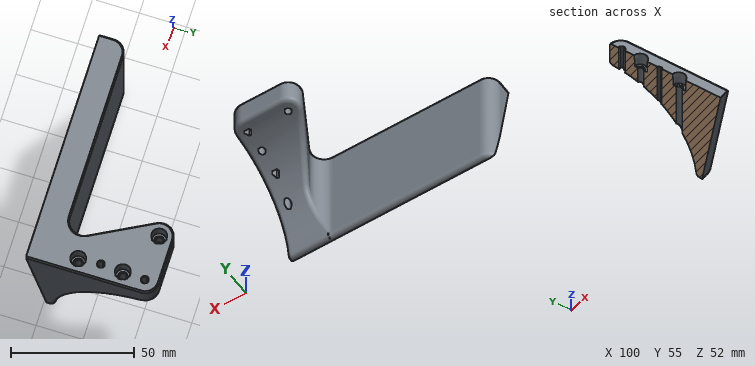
import cadquery as cq
import math

LENGTH = 100.0
DEPTH = 55.0
HEIGHT = 52.0

WALL_THICKNESS = 12.0
TAB_THICKNESS = 12.0
TAB_WIDTH = 31.0
THROAT_X = 84.0
CORNER_RADIUS = 6.0

FRONT_TILT = 10.0
TOP_CHAMFER_WIDTH = 0.6
TOP_CHAMFER_HEIGHT = 1.0
BOTTOM_FILLET = 2.0
MARGIN = 0.5

BOLT_DIAMETER = 3.0
BOLT_CHAMFER = 0.5
HEAD_DIAMETER = 6.1
HEAD_ENTRY_DIAMETER = 6.5
HEAD_ENTRY_DEPTH = 2.2
HEAD_DEPTH = 6.0

PILOT_DIAMETER = 3.2
PILOT_FLAT_OFFSET = 1.2
PILOT_MOUTH_DEPTH = 0.3

TAB_CORNER_X = LENGTH - TAB_WIDTH + CORNER_RADIUS
TAB_CORNER_Y = DEPTH - CORNER_RADIUS
HOLE_PITCH = 19.0
HOLE_ROW_X = LENGTH - CORNER_RADIUS
FIRST_BOLT_Y = TAB_CORNER_Y - 1.5 * HOLE_PITCH
PILOT_SHIFT = 0.5
BOLT_POINTS = [
    (HOLE_ROW_X, FIRST_BOLT_Y),
    (HOLE_ROW_X, FIRST_BOLT_Y + HOLE_PITCH),
    (TAB_CORNER_X, TAB_CORNER_Y),
]
PILOT_POINTS = [
    (HOLE_ROW_X - PILOT_SHIFT, FIRST_BOLT_Y + 0.5 * HOLE_PITCH),
    (HOLE_ROW_X + PILOT_SHIFT, TAB_CORNER_Y),
]


def polar(center, angle):
    """Point on a corner circle at an angle in degrees."""
    return (
        center[0] + CORNER_RADIUS * math.cos(math.radians(angle)),
        center[1] + CORNER_RADIUS * math.sin(math.radians(angle)),
    )


def make_blank():
    """Full-height prism of the L-shaped outline."""
    end = (CORNER_RADIUS, WALL_THICKNESS - CORNER_RADIUS)
    throat = (THROAT_X - CORNER_RADIUS, WALL_THICKNESS + CORNER_RADIUS)
    tab_left = (TAB_CORNER_X, TAB_CORNER_Y)
    tab_right = (LENGTH - CORNER_RADIUS, TAB_CORNER_Y)

    run = tab_left[0] - throat[0]
    rise = tab_left[1] - throat[1]
    crossing = math.asin(2 * CORNER_RADIUS / math.hypot(run, rise))
    throat_angle = math.degrees(crossing + math.atan2(-run, rise))
    tab_angle = 180 + throat_angle

    return (
        cq.Workplane("XY")
        .moveTo(0, 0)
        .lineTo(LENGTH, 0)
        .lineTo(LENGTH, tab_right[1])
        .threePointArc(polar(tab_right, 45), polar(tab_right, 90))
        .lineTo(tab_left[0], DEPTH)
        .threePointArc(polar(tab_left, (90 + tab_angle) / 2), polar(tab_left, tab_angle))
        .lineTo(*polar(throat, throat_angle))
        .threePointArc(polar(throat, (throat_angle - 90) / 2), polar(throat, -90))
        .lineTo(end[0], WALL_THICKNESS)
        .threePointArc(polar(end, 135), polar(end, 180))
        .close()
        .extrude(HEIGHT)
    )


def make_underside_cutter():
    """Cylinder that sweeps the wall's back face into the underside of the tab."""
    radius = DEPTH - WALL_THICKNESS
    axis_z = HEIGHT - TAB_THICKNESS - radius
    return cq.Workplane("YZ").center(DEPTH, axis_z).circle(radius).extrude(LENGTH)


def make_front_cutter():
    """Wedge in front of the tilted front face."""
    setback = HEIGHT * math.tan(math.radians(FRONT_TILT))
    return (
        cq.Workplane("YZ")
        .polyline([(0, HEIGHT), (setback, 0), (0, 0)])
        .close()
        .extrude(LENGTH)
    )


def make_bolt_hole():
    """Screw hole below z = 0: tapered entry, head pocket, chamfered shoulder and shank."""
    bolt_radius = BOLT_DIAMETER / 2
    head_radius = HEAD_DIAMETER / 2
    return (
        cq.Workplane("XZ")
        .polyline(
            [
                (0, 0),
                (HEAD_ENTRY_DIAMETER / 2, 0),
                (head_radius, -HEAD_ENTRY_DEPTH),
                (head_radius, -HEAD_DEPTH),
                (bolt_radius + BOLT_CHAMFER, -HEAD_DEPTH),
                (bolt_radius, -HEAD_DEPTH - BOLT_CHAMFER),
                (bolt_radius, -HEIGHT),
                (0, -HEIGHT),
            ]
        )
        .close()
        .revolve(360, (0, 0), (0, 1))
    )


def make_pilot_hole():
    """Triangular hole with clipped corners below z = 0, one corner toward -Y."""
    circumscribed_diameter = 4 * PILOT_FLAT_OFFSET
    round_hole = cq.Workplane("XY").circle(PILOT_DIAMETER / 2).extrude(-HEIGHT)
    triangle = (
        cq.Workplane("XY")
        .transformed(rotate=(0, 0, -90))
        .polygon(3, circumscribed_diameter)
        .extrude(-HEIGHT)
    )
    mouth = cq.Workplane("XY").circle(PILOT_DIAMETER / 2).extrude(-PILOT_MOUTH_DEPTH)
    return round_hole.intersect(triangle).union(mouth)


def edges_in_zone(body, selector, top):
    """Edges behind the front edges and centred below the level `top` that match the selector."""
    zone = cq.selectors.BoxSelector(
        (-MARGIN, MARGIN, -MARGIN),
        (LENGTH + MARGIN, DEPTH + MARGIN, top),
    )
    return body.edges(zone).edges(selector).vals()


def make_body():
    """L-shaped bracket with a chamfered top rim, rounded lower edges and a tilted front face."""
    body = make_blank().cut(make_underside_cutter())

    rim = edges_in_zone(body, ">Z", HEIGHT + MARGIN)
    chamfered = cq.Workplane(body.val().chamfer(TOP_CHAMFER_WIDTH, TOP_CHAMFER_HEIGHT, rim))

    lower_edges = edges_in_zone(chamfered, "not |Z", HEIGHT - TOP_CHAMFER_HEIGHT - MARGIN)
    rounded = chamfered.val().fillet(BOTTOM_FILLET, lower_edges).fix()

    return cq.Workplane(rounded).cut(make_front_cutter())


def drill(body, hole, points):
    """Cut copies of a hole from the top face at the given points."""
    for x, y in points:
        body = body.cut(hole.translate((x, y, HEIGHT)))
    return body


result = make_body()
result = drill(result, make_bolt_hole(), BOLT_POINTS)
result = drill(result, make_pilot_hole(), PILOT_POINTS)